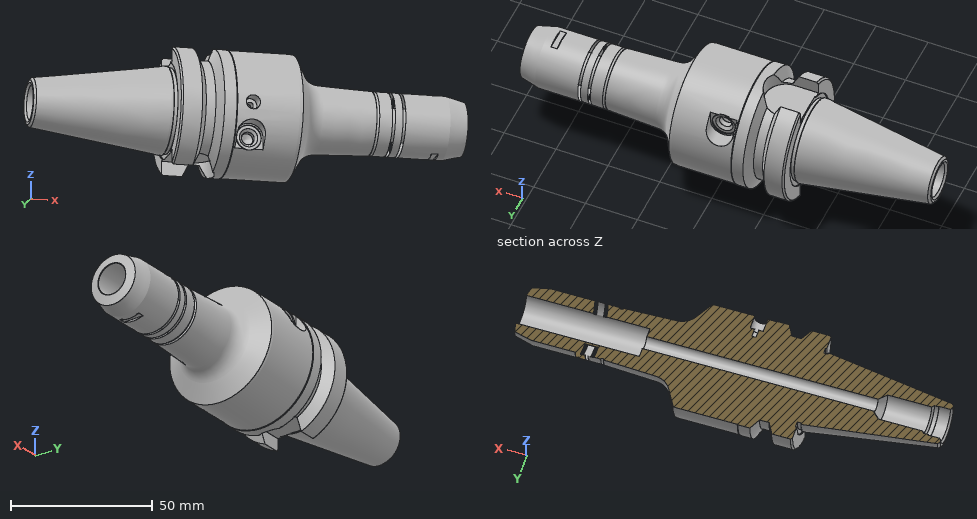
import cadquery as cq
import math

length = 158.4

gauge_x = 48.3
gauge_radius = 15.8
taper_ratio = 7 / 24
tail_radius = gauge_radius - gauge_x * taper_ratio / 2
tail_chamfer = 0.8
undercut_x = 49.3
undercut_radius = 15.4
face_recess_radius = 17.3
face_recess_depth = 0.5

flange_x = 50.2
flange_radius = 23.0
flange_chamfer = 0.6
flange_end_x = 57.8
groove_radius = 18.7
groove_start_x = 60.2
groove_end_x = 63.7
collar_x = 65.9
collar_end_x = 70.6
collar_chamfer = 0.3

body_radius = 22.8
body_end_x = 94.5
body_chamfer_length = 1.1
body_chamfer_depth = 0.2
shoulder_angle = math.radians(60)
shoulder_tangent = 4.0

neck_radius = 12.4
neck_x = 104.4
nose_diameter = 23.0
nose_radius = nose_diameter / 2
nose_x = 125.5
nose_taper_x = 150.8
tip_x = 157.6
tip_radius = 9.8
ring_groove_diameter = 1.0
ring_groove_positions = (124.5, 130.2, 134.0)

through_diameter = 5.0
tail_mouth_diameter = 14.1
pilot_diameter = 12.5
pilot_depth = 5.0
relief_diameter = 12.0
relief_depth = 6.7
thread_diameter = 10.5
thread_depth = 23.8
tool_bore_diameter = 12.0
tool_mouth_diameter = 12.4
tool_bore_depth = 46.0

drive_slot_width = 16.0
drive_slot_end_x = 67.3
drive_slot_floor = 16.3

nose_slot_x = 146.8
nose_slot_width = 2.4
nose_slot_length = 9.0
nose_slot_depth = 0.8
nose_slot_corner = 0.5

screw_x = 76.3
pocket_z = -12.2
pocket_diameter = 10.3
pocket_floor = 15.8
seat_diameter = 9.0
seat_depth = 0.5
socket_mouth_diameter = 6.7
socket_diameter = 4.6
socket_depth = 3.2
socket_point_depth = 1.3
port_z = -1.0
port_diameter = 5.0
port_floor = 17.5
port_pilot_diameter = 2.4
port_pilot_depth = 3.2


def revolve_about_x(sketch):
    """Turn a closed (X, radius) outline about the X axis."""
    return sketch.close().revolve(360, (0, 0, 0), (1, 0, 0))


def hole_from_front(diameter, x, z, start_depth, depth):
    """Cylinder along +Y from start_depth (distance from the axis plane) inward by depth."""
    return (
        cq.Workplane("XZ", origin=(x, -start_depth, z))
        .circle(diameter / 2)
        .extrude(-depth)
    )


def cone_from_front(mouth_diameter, x, z, start_depth, depth, end_diameter=0):
    """Cone along +Y, narrowing from mouth_diameter to end_diameter over depth."""
    cone = cq.Solid.makeCone(
        mouth_diameter / 2, end_diameter / 2, depth,
        cq.Vector(x, -start_depth, z), cq.Vector(0, 1, 0),
    )
    return cq.Workplane(obj=cone)


def make_body():
    """Outer turned shape, with a tangent arc blending the shoulder into the neck."""
    neck_slope = (neck_radius - nose_radius) / (nose_x - neck_x)
    neck_angle = math.atan(neck_slope)
    blend_x = neck_x - shoulder_tangent * math.cos(neck_angle)
    blend_radius = neck_radius + shoulder_tangent * math.sin(neck_angle)
    arc_start_x = blend_x - shoulder_tangent * math.cos(shoulder_angle)
    arc_start_radius = blend_radius + shoulder_tangent * math.sin(shoulder_angle)
    flange_edge = flange_radius - flange_chamfer
    outline = (
        cq.Workplane("XY")
        .moveTo(0, 0)
        .lineTo(0, tail_radius - tail_chamfer)
        .lineTo(tail_chamfer, tail_radius + tail_chamfer * taper_ratio / 2)
        .lineTo(gauge_x, gauge_radius)
        .lineTo(undercut_x, gauge_radius)
        .lineTo(undercut_x, undercut_radius)
        .lineTo(flange_x + face_recess_depth, undercut_radius)
        .lineTo(flange_x + face_recess_depth, face_recess_radius)
        .lineTo(flange_x, face_recess_radius)
        .lineTo(flange_x, flange_edge)
        .lineTo(flange_x + flange_chamfer, flange_radius)
        .lineTo(flange_end_x, flange_radius)
        .lineTo(groove_start_x, groove_radius)
        .lineTo(groove_end_x, groove_radius)
        .lineTo(collar_x, flange_radius)
        .lineTo(collar_end_x - collar_chamfer, flange_radius)
        .lineTo(collar_end_x, body_radius)
        .lineTo(body_end_x - body_chamfer_length, body_radius)
        .lineTo(body_end_x, body_radius - body_chamfer_depth)
        .lineTo(arc_start_x, arc_start_radius)
        .tangentArcPoint((neck_x, neck_radius), relative=False)
        .lineTo(nose_x, nose_radius)
        .lineTo(nose_taper_x, nose_radius)
        .lineTo(tip_x, tip_radius)
        .lineTo(length, tool_mouth_diameter / 2)
        .lineTo(length, 0)
    )
    return revolve_about_x(outline)


def make_bore():
    """Stepped bore from the tail, small through hole and tool bore from the nose."""
    tail_mouth_depth = (tail_mouth_diameter - pilot_diameter) / 2
    relief_cone_depth = (relief_diameter - thread_diameter) / 2
    thread_cone_depth = (thread_diameter - through_diameter) / 2
    tool_mouth_depth = (tool_mouth_diameter - tool_bore_diameter) / 2
    outline = (
        cq.Workplane("XY")
        .moveTo(0, 0)
        .lineTo(0, tail_mouth_diameter / 2)
        .lineTo(tail_mouth_depth, pilot_diameter / 2)
        .lineTo(pilot_depth, pilot_diameter / 2)
        .lineTo(pilot_depth, relief_diameter / 2)
        .lineTo(relief_depth, relief_diameter / 2)
        .lineTo(relief_depth + relief_cone_depth, thread_diameter / 2)
        .lineTo(thread_depth, thread_diameter / 2)
        .lineTo(thread_depth + thread_cone_depth, through_diameter / 2)
        .lineTo(length - tool_bore_depth, through_diameter / 2)
        .lineTo(length - tool_bore_depth, tool_bore_diameter / 2)
        .lineTo(length - tool_mouth_depth, tool_bore_diameter / 2)
        .lineTo(length, tool_mouth_diameter / 2)
        .lineTo(length, 0)
    )
    return revolve_about_x(outline)


def make_ring_grooves():
    """Half-round grooves around the nose."""
    grooves = cq.Workplane("XY")
    for x in ring_groove_positions:
        ring = (
            cq.Workplane("XY")
            .center(x, nose_radius)
            .circle(ring_groove_diameter / 2)
            .revolve(360, (-x, -nose_radius, 0), (-x + 1.6, -nose_radius, 0))
        )
        grooves = grooves.add(ring)
    return grooves.combine()


def make_drive_slot():
    """Round-ended slot open toward the tail, cut down to a flat floor on +Z."""
    end_radius = drive_slot_width / 2
    straight_start_x = undercut_x
    straight_end_x = drive_slot_end_x - end_radius
    return (
        cq.Workplane("XY", origin=(0, 0, drive_slot_floor))
        .moveTo(straight_start_x, -end_radius)
        .lineTo(straight_end_x, -end_radius)
        .threePointArc((drive_slot_end_x, 0), (straight_end_x, end_radius))
        .lineTo(straight_start_x, end_radius)
        .close()
        .extrude(flange_radius)
    )


def make_nose_slot():
    """Shallow cross slot with rounded corners on the +Z side of the nose."""
    return (
        cq.Workplane("XY", origin=(nose_slot_x, 0, nose_radius - nose_slot_depth))
        .rect(nose_slot_width, nose_slot_length)
        .extrude(nose_radius)
        .edges("|Z")
        .fillet(nose_slot_corner)
    )


def make_pocket():
    """U-shaped pocket open to -Y and -Z, with a screw seat and socket in its floor."""
    pocket_depth = flange_radius - pocket_floor
    round_part = hole_from_front(pocket_diameter, screw_x, pocket_z, flange_radius, pocket_depth)
    open_part = (
        cq.Workplane("XZ", origin=(screw_x, -flange_radius, pocket_z - flange_radius / 2))
        .rect(pocket_diameter, flange_radius)
        .extrude(-pocket_depth)
    )
    socket_start = pocket_floor - seat_depth
    countersink = (socket_mouth_diameter - socket_diameter) / 2
    seat = hole_from_front(seat_diameter, screw_x, pocket_z, pocket_floor, seat_depth)
    mouth = cone_from_front(
        socket_mouth_diameter, screw_x, pocket_z, socket_start, countersink, socket_diameter
    )
    socket = hole_from_front(socket_diameter, screw_x, pocket_z, socket_start, socket_depth)
    point = cone_from_front(
        socket_diameter, screw_x, pocket_z, socket_start - socket_depth, socket_point_depth
    )
    return round_part.union(open_part).union(seat).union(mouth).union(socket).union(point)


def make_port():
    """Blind radial hole on the -Y side with a smaller pilot in its floor."""
    hole = hole_from_front(port_diameter, screw_x, port_z, flange_radius, flange_radius - port_floor)
    pilot = hole_from_front(port_pilot_diameter, screw_x, port_z, port_floor, port_pilot_depth)
    return hole.union(pilot)


result = make_body().cut(make_bore()).cut(make_ring_grooves()).cut(make_port())

for paired_cutter in (make_drive_slot(), make_nose_slot(), make_pocket()):
    for turn in (0, 180):
        result = result.cut(paired_cutter.rotate((0, 0, 0), (1, 0, 0), turn))